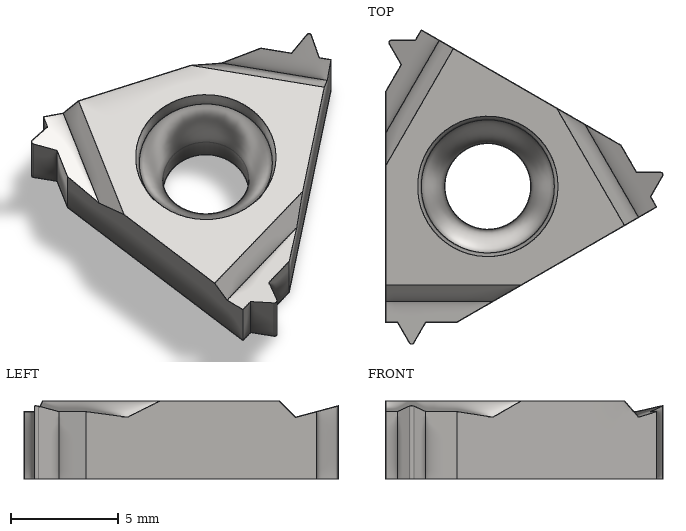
import cadquery as cq
import math

THICKNESS = 3.65
CORNER_COUNT = 3
CORNER_STEP = 360 / CORNER_COUNT

INSCRIBED_RADIUS = 9.525 / 2
LAND_DISTANCE = 6.33
TOOTH_TIP_DISTANCE = 7.35
TOOTH_CENTER_X = -3.55
TOOTH_HALF_ANGLE = math.radians(30)
TOOTH_TIP_RADIUS = 0.12

GROOVE_START = 4.6
GROOVE_DEPTH = 0.76
GROOVE_BACK_ANGLE = math.radians(45)
RAKE_ANGLE = math.radians(15)
CUT_MARGIN = 1.0

MOUTH_RADIUS = 3.27
SEAT_RADIUS = 3.1
SEAT_DEPTH = 0.62
BORE_RADIUS = 2.0
BORE_DEPTH = 2.36


def turn(point, angle_degrees):
    """Rotate a plan point about the hole axis."""
    angle = math.radians(angle_degrees)
    x, y = point
    return (
        x * math.cos(angle) - y * math.sin(angle),
        x * math.sin(angle) + y * math.cos(angle),
    )


def make_body():
    """Extrude the plan outline: per corner a land, a rounded tooth and a second land."""
    land_y = -LAND_DISTANCE
    tip_y = -TOOTH_TIP_DISTANCE
    round_center_y = tip_y + TOOTH_TIP_RADIUS
    sharp_tip_y = round_center_y - TOOTH_TIP_RADIUS / math.sin(TOOTH_HALF_ANGLE)
    root_half_width = (land_y - sharp_tip_y) * math.tan(TOOTH_HALF_ANGLE)
    round_half_width = TOOTH_TIP_RADIUS * math.cos(TOOTH_HALF_ANGLE)
    round_end_y = round_center_y - TOOTH_TIP_RADIUS * math.sin(TOOTH_HALF_ANGLE)

    side_angle = math.radians(CORNER_STEP / 2)
    land_end_x = (INSCRIBED_RADIUS - LAND_DISTANCE * math.sin(side_angle)) / math.cos(side_angle)

    corner = (-INSCRIBED_RADIUS, land_y)
    outline = cq.Workplane("XY").moveTo(*corner)
    for index in range(CORNER_COUNT):
        angle = index * CORNER_STEP
        if index > 0:
            outline = outline.lineTo(*turn(corner, angle))
        outline = outline.lineTo(*turn((TOOTH_CENTER_X - root_half_width, land_y), angle))
        outline = outline.lineTo(*turn((TOOTH_CENTER_X - round_half_width, round_end_y), angle))
        outline = outline.threePointArc(
            turn((TOOTH_CENTER_X, tip_y), angle),
            turn((TOOTH_CENTER_X + round_half_width, round_end_y), angle),
        )
        outline = outline.lineTo(*turn((TOOTH_CENTER_X + root_half_width, land_y), angle))
        outline = outline.lineTo(*turn((land_end_x, land_y), angle))
    return outline.close().extrude(THICKNESS)


def make_groove_cutter():
    """Prism along X that cuts the sloped groove back and the raked face of one corner."""
    floor_y = -GROOVE_START - GROOVE_DEPTH / math.tan(GROOVE_BACK_ANGLE)
    floor_z = THICKNESS - GROOVE_DEPTH
    outer_y = -TOOTH_TIP_DISTANCE - CUT_MARGIN
    outer_z = floor_z + (floor_y - outer_y) * math.tan(RAKE_ANGLE)
    top_z = THICKNESS + CUT_MARGIN
    profile = [
        (-GROOVE_START, THICKNESS),
        (floor_y, floor_z),
        (outer_y, outer_z),
        (outer_y, top_z),
        (-GROOVE_START, top_z),
    ]
    half_length = TOOTH_TIP_DISTANCE + CUT_MARGIN
    return cq.Workplane("YZ").polyline(profile).close().extrude(half_length, both=True)


def make_hole_cutter():
    """Revolved hole: tapered mouth, convex rounded seat tangent to a plain bore."""
    seat_z = THICKNESS - SEAT_DEPTH
    bore_z = THICKNESS - BORE_DEPTH
    seat_width = SEAT_RADIUS - BORE_RADIUS
    seat_height = seat_z - bore_z
    round_radius = (seat_width**2 + seat_height**2) / (2 * seat_width)
    half_sweep = math.asin(seat_height / round_radius) / 2
    round_middle = (
        BORE_RADIUS + round_radius * (1 - math.cos(half_sweep)),
        bore_z + round_radius * math.sin(half_sweep),
    )
    return (
        cq.Workplane("XZ")
        .moveTo(0, 0)
        .lineTo(BORE_RADIUS, 0)
        .lineTo(BORE_RADIUS, bore_z)
        .threePointArc(round_middle, (SEAT_RADIUS, seat_z))
        .lineTo(MOUTH_RADIUS, THICKNESS)
        .lineTo(0, THICKNESS)
        .close()
        .revolve(360, (0, 0), (0, 1))
    )


result = make_body()
for corner_index in range(CORNER_COUNT):
    groove = make_groove_cutter().rotate((0, 0, 0), (0, 0, 1), corner_index * CORNER_STEP)
    result = result.cut(groove)
result = result.cut(make_hole_cutter())